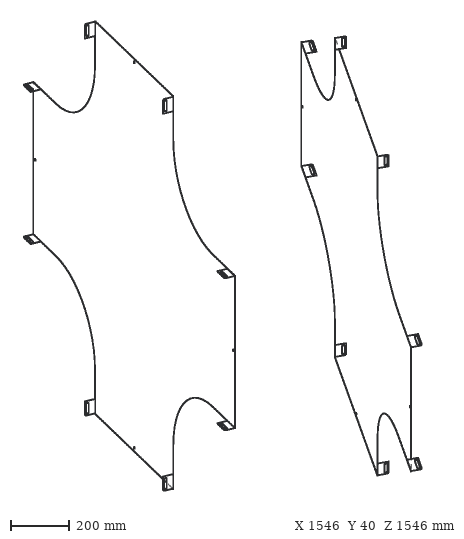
import cadquery as cq

span = 1546.0
depth = 40.0
arm_width = 600.0
corner_radius = arm_width / 2
sheet = 1.0

hole_diameter = 6.3
hole_inset = 14.0

tab_length = 57.0
tab_inset = 2.0
tab_chamfer = 5.0
slot_length = 43.0
slot_width = 10.0
slot_to_tab_end = 6.0
slot_to_tip = 5.4

half_span = span / 2
half_arm = arm_width / 2
arc_end = half_arm + corner_radius
back_face = depth / 2
tab_end = half_span - tab_inset
tab_tip = -depth / 2


def quarter_turns(shape):
    """Yield the shape turned onto each of the four arms about the Y axis."""
    for turn in range(4):
        yield shape.rotate((0, 0, 0), (0, 1, 0), 90 * turn)


def make_plate():
    """Square sheet with a rounded corner cut out between neighbouring arms."""
    square = cq.Workplane("XZ", origin=(0, back_face, 0)).rect(span, span).extrude(sheet)
    corner = (
        cq.Workplane("XZ", origin=(0, back_face, 0))
        .moveTo(half_arm, half_span)
        .lineTo(half_arm, arc_end)
        .radiusArc((arc_end, half_arm), -corner_radius)
        .lineTo(half_span, half_arm)
        .lineTo(half_span, half_span)
        .close()
        .extrude(sheet)
    )
    for cutout in quarter_turns(corner):
        square = square.cut(cutout)
    return square


def make_tab():
    """Slotted tab on the upper edge of the +X arm, with a chamfered outer tip."""
    slot_x = tab_end - slot_to_tab_end - slot_length / 2
    slot_y = tab_tip + slot_to_tip + slot_width / 2
    slot = (
        cq.Workplane("XY", origin=(0, 0, half_arm))
        .center(slot_x, slot_y)
        .slot2D(slot_length, slot_width)
        .extrude(-sheet)
    )
    blank = (
        cq.Workplane("XY", origin=(0, 0, half_arm))
        .moveTo(tab_end - tab_length, back_face)
        .lineTo(tab_end, back_face)
        .lineTo(tab_end, tab_tip + tab_chamfer)
        .lineTo(tab_end - tab_chamfer, tab_tip)
        .lineTo(tab_end - tab_length, tab_tip)
        .close()
        .extrude(-sheet)
    )
    return blank.cut(slot)


def make_hole():
    """Cutter for the fixing hole near the end of the +X arm."""
    return (
        cq.Workplane("XZ", origin=(0, back_face, 0))
        .center(half_span - hole_inset, 0)
        .circle(hole_diameter / 2)
        .extrude(sheet)
    )


upper_tab = make_tab()
lower_tab = upper_tab.mirror("XY")

result = make_plate()
for tab in (upper_tab, lower_tab):
    for placed_tab in quarter_turns(tab):
        result = result.union(placed_tab)
for hole in quarter_turns(make_hole()):
    result = result.cut(hole)